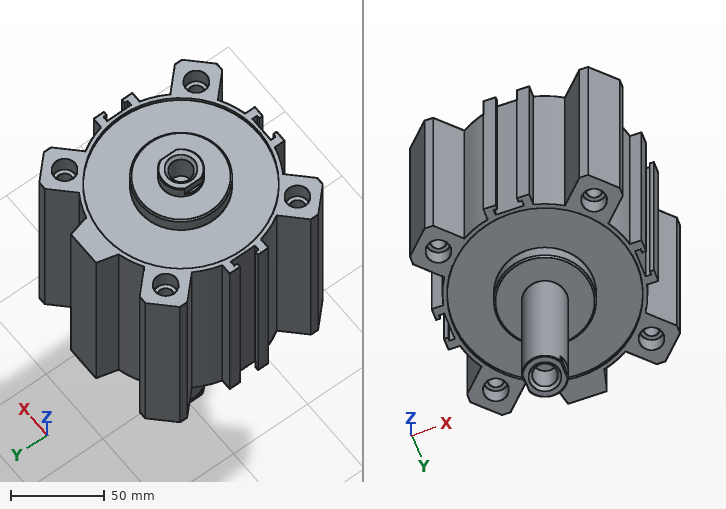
import cadquery as cq
import math


body_height = 126.5
body_width = 120.0
body_half = body_width / 2
barrel_diameter = 110.0
recess_diameter = 105.0
recess_depth = 2.4
collar_diameter = 55.0
collar_height = 7.5
collar_chamfer = 1.0

lug_width = 25.7
lug_reach = 75.5
hole_offset = 44.5
hole_diameter = 9.0
counterbore_diameter = 13.8
counterbore_depth = 12.0
lug_angles = [45, 135, 225, 315]

rail_width = 26.2
slot_floor = 54.5
slot_lip = 2.4
slot_opening_width = 12.1
slot_inner_width = 16.2
rail_angles = [0, 180, 270]

block_reach = 66.0
block_tip_width = 22.1
block_root_width = 28.8
block_root = 52.5

rod_diameter = 25.0
rod_length = 238.0
rod_rise = 15.7
rod_top = body_height + rod_rise
rod_bottom = rod_top - rod_length
rod_chamfer = 0.5
flat_distance = 22.0
flat_length = 5.7
bore_diameter = 13.8
bore_depth = 20.0
bore_mouth_diameter = 17.5


def end_disc(diameter, depth, from_top):
    """Disc of the given depth measured inward from one end face of the housing."""
    start = body_height - depth if from_top else 0
    return cq.Workplane("XY").workplane(offset=start).circle(diameter / 2).extrude(depth)


def lug(angle):
    """Radial lug whose outer corners are trimmed by the square envelope of the housing."""
    bar = cq.Workplane("XY").rect(lug_reach, lug_width).extrude(body_height)
    bar = bar.translate((lug_reach / 2, 0, 0)).rotate((0, 0, 0), (0, 0, 1), angle)
    envelope = cq.Workplane("XY").rect(body_width, body_width).extrude(body_height)
    return bar.intersect(envelope)


def rail(angle):
    """Radial bar that carries one T-slot."""
    bar = cq.Workplane("XY").rect(body_half, rail_width).extrude(body_height)
    return bar.translate((body_half / 2, 0, 0)).rotate((0, 0, 0), (0, 0, 1), angle)


def t_slot(angle):
    """T-shaped groove, open outward and running the full height of the housing."""
    lip_start = body_half - slot_lip
    inner_half = slot_inner_width / 2
    opening_half = slot_opening_width / 2
    groove = (
        cq.Workplane("XY")
        .moveTo(slot_floor, -inner_half)
        .lineTo(lip_start, -inner_half)
        .lineTo(lip_start, -opening_half)
        .lineTo(body_half, -opening_half)
        .lineTo(body_half, opening_half)
        .lineTo(lip_start, opening_half)
        .lineTo(lip_start, inner_half)
        .lineTo(slot_floor, inner_half)
        .close()
        .extrude(body_height)
    )
    return groove.rotate((0, 0, 0), (0, 0, 1), angle)


def tapered_block():
    """Block on the +Y side that narrows outward; its root continues into the barrel."""
    root_half = block_root_width / 2
    tip_half = block_tip_width / 2
    return (
        cq.Workplane("XY")
        .moveTo(-root_half, 0)
        .lineTo(-root_half, block_root)
        .lineTo(-tip_half, block_reach)
        .lineTo(tip_half, block_reach)
        .lineTo(root_half, block_root)
        .lineTo(root_half, 0)
        .close()
        .extrude(body_height)
    )


def collars():
    """One cylinder forming the collars that stand out of both end faces."""
    return (
        cq.Workplane("XY")
        .workplane(offset=-collar_height)
        .circle(collar_diameter / 2)
        .extrude(body_height + 2 * collar_height)
        .edges()
        .chamfer(collar_chamfer)
    )


def mounting_hole(angle):
    """Through hole of one lug, counterbored from both ends."""
    cutter = cq.Workplane("XY").circle(hole_diameter / 2).extrude(body_height)
    for from_top in (False, True):
        cutter = cutter.union(end_disc(counterbore_diameter, counterbore_depth, from_top))
    hole_radius = hole_offset * math.sqrt(2)
    return cutter.translate((hole_radius, 0, 0)).rotate((0, 0, 0), (0, 0, 1), angle)


def make_housing():
    """Profiled barrel with lugs, rails, block, recessed end faces and collars."""
    housing = cq.Workplane("XY").circle(barrel_diameter / 2).extrude(body_height)
    housing = housing.union(tapered_block())
    for angle in lug_angles:
        housing = housing.union(lug(angle))
    for angle in rail_angles:
        housing = housing.union(rail(angle))
    for angle in rail_angles:
        housing = housing.cut(t_slot(angle))
    for angle in lug_angles:
        housing = housing.cut(mounting_hole(angle))
    for from_top in (False, True):
        housing = housing.cut(end_disc(recess_diameter, recess_depth, from_top))
    housing = housing.union(collars())
    rod_hole = (
        cq.Workplane("XY")
        .workplane(offset=rod_bottom)
        .circle(rod_diameter / 2)
        .extrude(rod_length)
    )
    return housing.cut(rod_hole)


def rod_end_bore():
    """Blind bore with a conical mouth, pointing down from Z = 0."""
    bore_radius = bore_diameter / 2
    mouth_radius = bore_mouth_diameter / 2
    mouth_depth = mouth_radius - bore_radius
    return (
        cq.Workplane("XZ")
        .lineTo(mouth_radius, 0)
        .lineTo(bore_radius, -mouth_depth)
        .lineTo(bore_radius, -bore_depth)
        .lineTo(0, -bore_depth)
        .close()
        .revolve(360, (0, 0, 0), (0, 1, 0))
    )


def wrench_flats():
    """Material removed beside the two X-facing flats, reaching down from Z = 0."""
    band = cq.Workplane("XY").rect(2 * rod_diameter, 2 * rod_diameter).extrude(-flat_length)
    core = cq.Workplane("XY").rect(flat_distance, 2 * rod_diameter).extrude(-flat_length)
    return band.cut(core)


def make_rod():
    """Straight round rod with the same bore and flats at both ends."""
    rod = (
        cq.Workplane("XY")
        .workplane(offset=rod_bottom)
        .circle(rod_diameter / 2)
        .extrude(rod_length)
        .edges()
        .chamfer(rod_chamfer)
    )
    end_cutter = wrench_flats().union(rod_end_bore())
    rod = rod.cut(end_cutter.translate((0, 0, rod_top)))
    return rod.cut(end_cutter.mirror("XY").translate((0, 0, rod_bottom)))


housing = make_housing()
rod = make_rod()
result = cq.Compound.makeCompound([housing.solids().val(), rod.solids().val()])